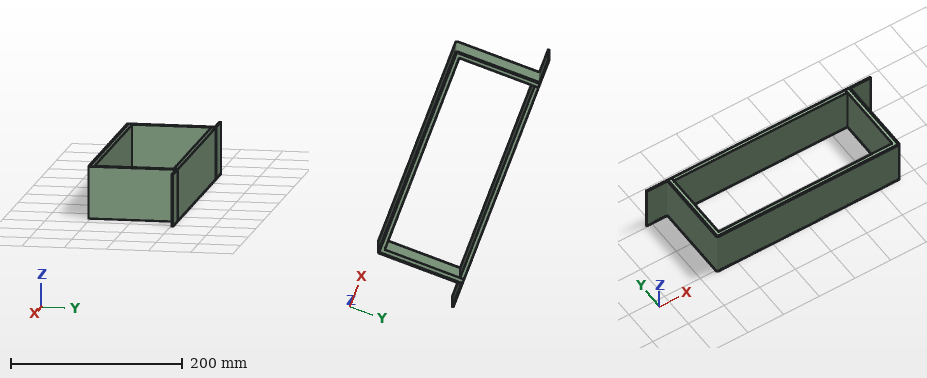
import cadquery as cq

overall_length = 314.0
depth = 105.5
height = 62.0
box_length = 256.5
sheet_thickness = 1.5
bend_outer_radius = 2.2
liner_thickness = 5.0
bar_depth = 5.0

bend_inner_radius = bend_outer_radius - sheet_thickness
liner_length = box_length - 2 * sheet_thickness
liner_depth = depth - sheet_thickness
opening_length = liner_length - 2 * liner_thickness
opening_depth = liner_depth - liner_thickness


def block(length, block_depth):
    """Full-height block centred on X, running forward from the back plane."""
    return cq.Workplane("XY").box(length, block_depth, height, centered=(True, False, False)).translate(
        (0, -block_depth, 0)
    )


def make_sheet():
    """Bent hat-section sheet: front wall, two side walls and two back flanges."""
    flanges = block(overall_length, sheet_thickness)
    shell = block(box_length, depth).edges("|Z and <Y").fillet(bend_outer_radius)
    sheet = flanges.union(shell)
    inside_corners = cq.selectors.BoxSelector(
        (-box_length / 2 - sheet_thickness, -2 * sheet_thickness, -height),
        (box_length / 2 + sheet_thickness, -sheet_thickness / 2, 2 * height),
    )
    sheet = sheet.edges("|Z").edges(inside_corners).fillet(bend_inner_radius)
    return sheet.cut(liner_envelope())


def liner_envelope():
    """Outside shape of the liner and bar together, fitting inside the sheet."""
    return block(liner_length, liner_depth).edges("|Z and <Y").fillet(bend_inner_radius)


def make_liner():
    """U-shaped liner against the front and side walls of the sheet."""
    return liner_envelope().cut(block(opening_length, opening_depth))


def make_bar():
    """Back bar closing the open end of the liner."""
    return block(opening_length, bar_depth)


sheet = make_sheet()
liner = make_liner()
bar = make_bar()

result = cq.Compound.makeCompound([sheet.val(), liner.val(), bar.val()])